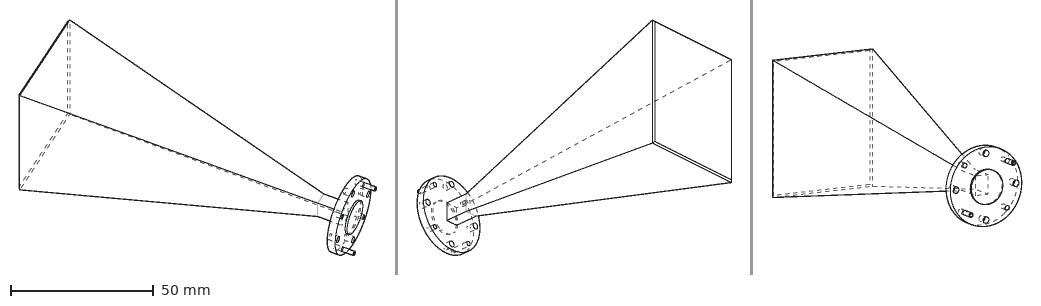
import cadquery as cq
import math

total_length = 125.8

mouth_width = 39.9
mouth_height = 49.3
mouth_bevel_depth = 0.6
mouth_bevel_inset = 0.6
neck_width = 4.9
neck_height = 7.0
neck_start = 108.4

flange_start = 117.9
flange_thickness = 3.1
flange_end = flange_start + flange_thickness
flange_diameter = 28.5
face_diameter = 12.6
face_height = 0.8

hole_circle_radius = 12.0
screw_hole_diameter = 2.3
pin_diameter = 1.6
pin_tip_chamfer = 0.3
screw_angles = (0, 90, 180, 270)
pin_angles = (45, 225)
alignment_hole_angles = (135, 315)


def section_plane(x):
    """Plane across the axis at x, with local axes along Y and Z."""
    return cq.Workplane("YZ", origin=(x, 0, 0))


def circle_points(angles):
    """Points on the hole circle, with angles in degrees from +Y toward +Z."""
    return [
        (
            hole_circle_radius * math.cos(math.radians(angle)),
            hole_circle_radius * math.sin(math.radians(angle)),
        )
        for angle in angles
    ]


def tapered_block(start, start_size, end, end_size):
    """Solid between two centred rectangles, each size given as (Y, Z)."""
    return (
        section_plane(start)
        .rect(*start_size)
        .workplane(offset=end - start)
        .rect(*end_size)
        .loft(ruled=True, combine=True)
    )


def make_horn_shape():
    mouth = (mouth_width, mouth_height)
    front = (mouth_width - 2 * mouth_bevel_inset, mouth_height - 2 * mouth_bevel_inset)
    neck = (neck_width, neck_height)
    bevel = tapered_block(0, front, mouth_bevel_depth, mouth)
    taper = tapered_block(mouth_bevel_depth, mouth, neck_start, neck)
    straight_neck = section_plane(neck_start).rect(*neck).extrude(flange_start - neck_start)
    return bevel.union(taper).union(straight_neck)


def make_flange_shape():
    disc = section_plane(flange_start).circle(flange_diameter / 2).extrude(flange_thickness)
    raised_face = section_plane(flange_end).circle(face_diameter / 2).extrude(face_height)
    return disc.union(raised_face)


def through_holes(angles, diameter):
    """Cutters through the flange disc."""
    points = circle_points(angles)
    return section_plane(flange_start).pushPoints(points).circle(diameter / 2).extrude(flange_thickness)


def make_horn():
    """Horn, neck and flange as one body, with its screw, alignment and pin holes."""
    body = make_horn_shape().union(make_flange_shape())
    body = body.cut(through_holes(screw_angles, screw_hole_diameter))
    return body.cut(through_holes(alignment_hole_angles + pin_angles, pin_diameter))


def make_pin(center):
    """Dowel pin flush with the horn side of the flange, chamfered at its free end."""
    pin = section_plane(flange_start).center(*center).circle(pin_diameter / 2)
    return pin.extrude(total_length - flange_start).faces(">X").chamfer(pin_tip_chamfer)


horn = make_horn()
pins = [make_pin(center) for center in circle_points(pin_angles)]

result = cq.Compound.makeCompound([horn.val(), *[pin.val() for pin in pins]])